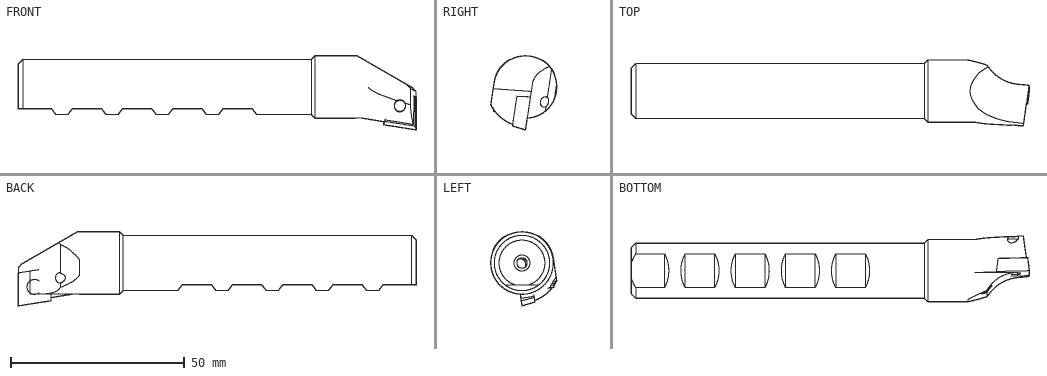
import cadquery as cq
import math


total_length = 115.0
shank_diameter = 16.0
shank_radius = shank_diameter / 2
rear_chamfer = 1.4
collar_start = 84.6
collar_end = 99.2
collar_diameter = 18.0
collar_radius = collar_diameter / 2
collar_chamfer = 1.0

flat_height = -6.3
flat_count = 5
first_tooth_start = 9.7
tooth_base = 6.0
flat_length = 8.5
flat_pitch = tooth_base + flat_length
tooth_slope_angle = 53.0
flat_cut_depth = 2.9

bore_mouth_radius = 2.3
bore_radius = 1.5
countersink_depth = 1.4
bore_length = 80.5
drill_tip_angle = 118.0
outlet_end = (105.8, 6.2, -4.8)

flare_angle = 9.2
side_start = 100.2
side_radius = 9.2
bevel_start = 97.9
bevel_angle = 30.0
end_relief_angle = 8.0
end_face_setback = 0.3
end_chamfer_height = -1.2
end_chamfer_tilt = 4.0
end_chamfer_size = 3.5

tip_drop = 12.4
rake_angle = 8.5

pocket_start = 97.3
pocket_start_height = 6.9
pocket_shoulder = 102.7
pocket_shoulder_height = 4.8
pocket_floor_start = 111.5

insert_side = 9.7
insert_thickness = 3.9
insert_clearance = 7.0
insert_edge_slope = 9.0
screw_radius = 1.6
screw_head_radius = 2.2
screw_head_depth = 2.2
screw_recess = 1.2

margin = 23.0


def sin(degrees):
    return math.sin(math.radians(degrees))


def cos(degrees):
    return math.cos(math.radians(degrees))


def tan(degrees):
    return math.tan(math.radians(degrees))


rake_up = (0, sin(rake_angle), cos(rake_angle))
rake_out = (0, cos(rake_angle), -sin(rake_angle))
rake_in = (0, -cos(rake_angle), sin(rake_angle))
rake_plane = cq.Plane(origin=(total_length, 0, -tip_drop), xDir=(1, 0, 0), normal=rake_in)

head_thickness = side_radius + tip_drop * sin(rake_angle)

screw_x = -insert_side * cos(insert_edge_slope) / 2
screw_y = insert_side * (1 + sin(insert_edge_slope)) / 2

end_face_x = total_length - end_face_setback


def revolve_about_x(outline):
    return cq.Workplane("XY").polyline(outline).close().revolve(360, (0, 0, 0), (1, 0, 0))


def make_turned_blank():
    return revolve_about_x([
        (0, 0),
        (0, shank_radius - rear_chamfer),
        (rear_chamfer, shank_radius),
        (collar_start, shank_radius),
        (collar_start + collar_chamfer, collar_radius),
        (collar_end, collar_radius),
        (collar_end, 0),
    ])


def make_flare():
    end_radius = collar_radius + (total_length - collar_end) * tan(flare_angle)
    return revolve_about_x([
        (collar_end, 0),
        (collar_end, collar_radius),
        (total_length, end_radius),
        (total_length, 0),
    ])


def make_side_cut():
    """Trims the flare to a round top and a flat side parallel to the rake plane."""
    section = cq.Plane(origin=(side_start, 0, 0), xDir=rake_out, normal=(1, 0, 0))
    kept = (
        cq.Workplane(section)
        .moveTo(-side_radius, 0)
        .threePointArc((0, side_radius), (side_radius, 0))
        .lineTo(side_radius, -margin)
        .lineTo(-side_radius, -margin)
        .close()
        .extrude(margin)
    )
    surround = cq.Workplane(section).rect(2 * margin, 2 * margin).extrude(margin)
    return surround.cut(kept)


def make_rake_side_cut():
    """Takes the flare back to the collar radius on the rake side, below the bar axis."""
    axis_height = tip_drop / cos(rake_angle)
    rake_side = cq.Workplane(rake_plane).rect(2 * margin, 2 * axis_height).extrude(-margin)
    core = cq.Workplane("YZ").circle(collar_radius).extrude(total_length)
    return rake_side.cut(core)


def make_head():
    return make_flare().cut(make_side_cut()).cut(make_rake_side_cut())


def make_clamping_flats():
    run = flat_cut_depth / tan(tooth_slope_angle)
    flats = cq.Workplane("XZ")
    for index in range(flat_count):
        end = first_tooth_start + index * flat_pitch
        start = end - flat_length if index > 0 else -margin
        flats = flats.polyline([
            (start, flat_height),
            (end, flat_height),
            (end + run, flat_height - flat_cut_depth),
            (start - run, flat_height - flat_cut_depth),
        ]).close()
    return flats.extrude(shank_radius, both=True)


def make_coolant_bore():
    tip_length = bore_radius / tan(drill_tip_angle / 2)
    bore = revolve_about_x([
        (0, 0),
        (0, bore_mouth_radius),
        (countersink_depth, bore_radius),
        (bore_length, bore_radius),
        (bore_length + tip_length, 0),
    ])
    bore_end = cq.Vector(bore_length, 0, 0)
    course = cq.Vector(*outlet_end) - bore_end
    outlet_plane = cq.Plane(origin=bore_end, normal=course)
    outlet = cq.Workplane(outlet_plane).circle(bore_radius).extrude(course.Length)
    return bore.union(outlet)


def make_bevel_cut():
    outline = [
        (bevel_start, collar_radius),
        (bevel_start + margin, collar_radius - margin * tan(bevel_angle)),
        (bevel_start + margin, margin),
        (bevel_start, margin),
    ]
    return cq.Workplane("XZ").polyline(outline).close().extrude(margin, both=True)


def make_end_cut():
    run = margin * tan(end_relief_angle)
    outline = [
        (end_face_x + run, margin),
        (end_face_x - run, -margin),
        (end_face_x + margin, -margin),
        (end_face_x + margin, margin),
    ]
    return cq.Workplane("XY").polyline(outline).close().extrude(margin, both=True)


def make_end_chamfer():
    edge = (sin(end_relief_angle), cos(end_relief_angle), -sin(end_chamfer_tilt))
    section = cq.Plane(origin=(end_face_x, 0, end_chamfer_height), xDir=(0, 0, 1), normal=edge)
    size = end_chamfer_size
    outline = [(-size, size), (size, size), (size, -size)]
    return cq.Workplane(section).polyline(outline).close().extrude(margin, both=True)


def make_chip_pocket():
    section = cq.Plane(origin=(0, 0, -tip_drop), xDir=(1, 0, 0), normal=rake_up)
    run = pocket_floor_start - pocket_shoulder
    radius = (run**2 + pocket_shoulder_height**2) / (2 * pocket_shoulder_height)
    half_sweep = math.asin(run / radius) / 2
    arc_middle = (
        pocket_floor_start - radius * math.sin(half_sweep),
        radius * (1 - math.cos(half_sweep)),
    )
    return (
        cq.Workplane(section)
        .moveTo(pocket_start, pocket_start_height)
        .lineTo(pocket_shoulder, pocket_shoulder_height)
        .threePointArc(arc_middle, (pocket_floor_start, 0))
        .lineTo(total_length + margin, 0)
        .lineTo(total_length + margin, margin)
        .lineTo(pocket_start, margin)
        .close()
        .extrude(2 * margin, both=True)
    )


def make_screw_hole():
    return (
        cq.Workplane(rake_plane)
        .center(screw_x, screw_y)
        .circle(screw_radius)
        .extrude(margin)
    )


def make_screw():
    screw_length = head_thickness - screw_recess
    section = cq.Plane(
        origin=rake_plane.toWorldCoords((screw_x, screw_y, 0)), xDir=(1, 0, 0), normal=rake_up
    )
    outline = [
        (0, 0),
        (screw_head_radius, 0),
        (screw_radius, -screw_head_depth),
        (screw_radius, -screw_length),
        (0, -screw_length),
    ]
    return cq.Workplane(section).polyline(outline).close().revolve(360, (0, 0, 0), (0, 1, 0))


def make_insert(screw):
    back = insert_side * cos(insert_edge_slope)
    rise = insert_side * sin(insert_edge_slope)
    outline = [(0, 0), (0, insert_side), (-back, insert_side + rise), (-back, rise)]
    blank = cq.Workplane(rake_plane).polyline(outline).close()
    return blank.extrude(insert_thickness, taper=insert_clearance).cut(screw)


def make_bar(insert, screw):
    bar = make_turned_blank().union(make_head())
    bar = bar.cut(make_clamping_flats()).cut(make_coolant_bore())
    bar = bar.cut(make_bevel_cut()).cut(make_end_cut()).cut(make_end_chamfer())
    bar = bar.cut(make_chip_pocket()).cut(make_screw_hole())
    return bar.cut(insert).cut(screw)


screw = make_screw()
insert = make_insert(screw)
bar = make_bar(insert, screw)

result = cq.Compound.makeCompound([bar.val(), insert.val(), screw.val()])